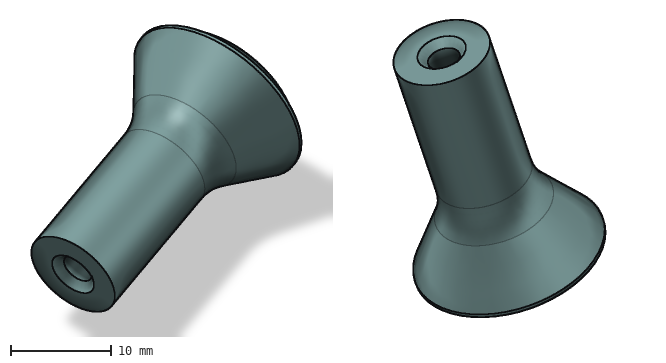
import cadquery as cq
import math

length = 28.0
head_diameter = 19.8
face_diameter = 15.57
stem_diameter = 10.0
face_chamfer_length = 1.6
rim_width = 0.4
flare_angle = 32.7
neck_radius = 7.28

hole_diameter = 3.3
countersink_diameter = 5.0
hole_depth = 11.2
drill_tip_angle = 118.0
countersink_angle = 90.0

head_radius = head_diameter / 2
face_radius = face_diameter / 2
stem_radius = stem_diameter / 2
hole_radius = hole_diameter / 2
countersink_radius = countersink_diameter / 2


def make_body():
    """Revolve the stem, neck, flare and bevelled head; the stem end is at Y = 0."""
    flare = math.radians(flare_angle)
    rim_end = length - face_chamfer_length
    rim_start = rim_end - rim_width

    neck_end_radius = stem_radius + neck_radius * (1 - math.cos(flare))
    neck_end = rim_start - (head_radius - neck_end_radius) / math.tan(flare)
    neck_start = neck_end - neck_radius * math.sin(flare)
    neck_middle = (
        stem_radius + neck_radius * (1 - math.cos(flare / 2)),
        neck_start + neck_radius * math.sin(flare / 2),
    )

    profile = (
        cq.Workplane("XY")
        .lineTo(stem_radius, 0)
        .lineTo(stem_radius, neck_start)
        .threePointArc(neck_middle, (neck_end_radius, neck_end))
        .lineTo(head_radius, rim_start)
        .lineTo(head_radius, rim_end)
        .lineTo(face_radius, length)
        .lineTo(0, length)
        .close()
    )
    return profile.revolve(360, (0, 0), (0, 1))


def make_hole():
    """Revolve the countersunk blind hole with its conical drill tip."""
    countersink_slope = math.tan(math.radians(countersink_angle / 2))
    countersink_depth = (countersink_radius - hole_radius) / countersink_slope
    tip_length = hole_radius / math.tan(math.radians(drill_tip_angle / 2))

    profile = (
        cq.Workplane("XY")
        .lineTo(countersink_radius, 0)
        .lineTo(hole_radius, countersink_depth)
        .lineTo(hole_radius, hole_depth)
        .lineTo(0, hole_depth + tip_length)
        .close()
    )
    return profile.revolve(360, (0, 0), (0, 1))


result = make_body().cut(make_hole())